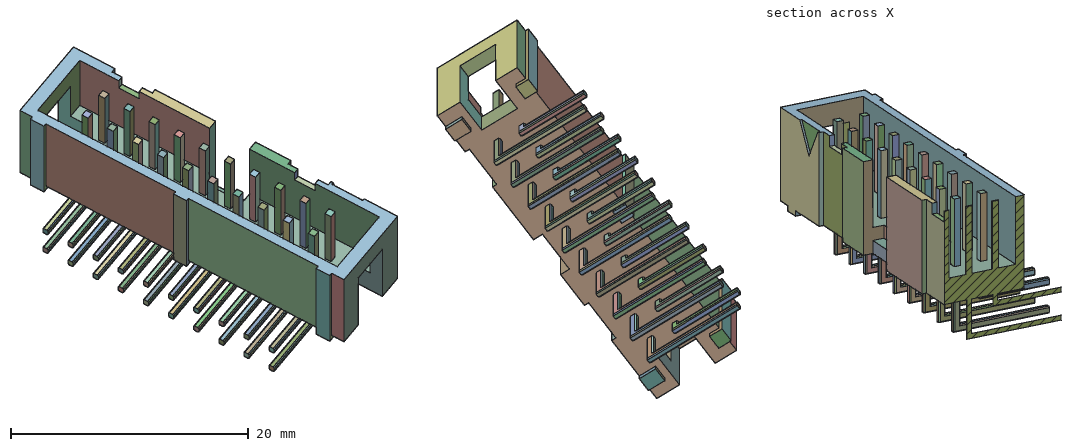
import cadquery as cq

LENGTH = 32.72
DEPTH = 8.15
HEIGHT = 8.47
OVERALL_DEPTH = 11.7
OVERALL_HEIGHT = 12.1
END_WALL = 1.25
FRONT_WALL = 0.85
BACK_WALL = 0.9
FLOOR_TOP = 2.35
CAVITY_BACK = DEPTH - BACK_WALL

COLUMNS = 10
COLUMN_SPAN = 22.85
PITCH = COLUMN_SPAN / (COLUMNS - 1)
PIN_WIDTH = 0.62
TAIL_WIDTH = 0.52
TAIL_CHAMFER = 0.1
PIN_TOP = HEIGHT
FRONT_ROW_Y = 2.78
TAIL_END_Y = DEPTH - OVERALL_DEPTH
PIN_BOTTOM = HEIGHT - OVERALL_HEIGHT
LOWER_TAIL_Z = PIN_BOTTOM + PIN_WIDTH / 2

WINDOW_FRONT = 2.2
WINDOW_WIDTH = 3.63
WINDOW_HEIGHT = 6.4
FLOOR_NOTCH_LENGTH = 2.0
WINDOW_LENGTH = END_WALL + FLOOR_NOTCH_LENGTH

KEY_WIDTH = 4.02
KEY_POCKET_DEPTH = 1.08
KEY_POCKET_BOTTOM = 1.18

GROOVE_CENTERS = (-4 * PITCH, 3 * PITCH)
GROOVE_WIDTH = 4.05
GROOVE_DEPTH = 0.43
NOTCH_WIDTH = 2.05
NOTCH_DEPTH = 0.98

MARK_WIDTH = 3.15
MARK_HEIGHT = 2.7
MARK_DEPTH = 0.2

RIB_PROJECTION = 0.3
OUTER_RIB_WIDTH = 1.37
CENTER_RIB_WIDTH = 1.3
FOOT_HEIGHT = 0.5
FRONT_FOOT_DEPTH = 0.98
BACK_FOOT_DEPTH = 1.67


def block(x_min, x_max, y_min, y_max, z_min, z_max):
    """Axis-aligned box between the given limits."""
    size = (x_max - x_min, y_max - y_min, z_max - z_min)
    return cq.Workplane("XY").box(*size, centered=False).translate((x_min, y_min, z_min))


def centered_block(x_center, width, y_min, y_max, z_min, z_max):
    """Box of the given X width placed about x_center."""
    return block(x_center - width / 2, x_center + width / 2, y_min, y_max, z_min, z_max)


def shroud():
    """Open-topped box with a thick floor."""
    outer = centered_block(0, LENGTH, 0, DEPTH, 0, HEIGHT)
    cavity = centered_block(0, LENGTH - 2 * END_WALL, FRONT_WALL, CAVITY_BACK, FLOOR_TOP, HEIGHT)
    return outer.cut(cavity)


def cut_windows(body):
    """Slot each end from the underside up, through the end wall and into the floor."""
    window = block(-LENGTH / 2, -LENGTH / 2 + WINDOW_LENGTH,
                   WINDOW_FRONT, WINDOW_FRONT + WINDOW_WIDTH, 0, WINDOW_HEIGHT)
    return body.cut(window).cut(window.mirror("YZ"))


def cut_key(body):
    """Split the back wall at mid-length and sink a pocket in the floor just inside the gap."""
    gap = centered_block(0, KEY_WIDTH, CAVITY_BACK, DEPTH, 0, HEIGHT)
    pocket = centered_block(0, KEY_WIDTH, CAVITY_BACK - KEY_POCKET_DEPTH, CAVITY_BACK,
                            KEY_POCKET_BOTTOM, FLOOR_TOP)
    return body.cut(gap).cut(pocket)


def cut_grooves(body):
    """Full-height grooves with a notch through the rest of the wall at the rim."""
    for x in GROOVE_CENTERS:
        body = body.cut(centered_block(x, GROOVE_WIDTH, DEPTH - GROOVE_DEPTH, DEPTH, 0, HEIGHT))
        body = body.cut(centered_block(x, NOTCH_WIDTH, CAVITY_BACK, DEPTH, HEIGHT - NOTCH_DEPTH, HEIGHT))
    return body


def cut_mark(body):
    """Shallow triangle with its base on the rim and its tip pointing down."""
    x = column_x(COLUMNS - 1)
    corners = [(x - MARK_WIDTH / 2, HEIGHT), (x + MARK_WIDTH / 2, HEIGHT), (x, HEIGHT - MARK_HEIGHT)]
    mark = cq.Workplane("XZ", origin=(0, DEPTH, 0)).polyline(corners).close().extrude(MARK_DEPTH)
    return body.cut(mark)


def add_ribs_and_feet(body):
    """Full-height ribs ending in feet, with matching feet under the back corners."""
    outer_x = LENGTH / 2 - END_WALL - OUTER_RIB_WIDTH / 2
    for x, width in ((-outer_x, OUTER_RIB_WIDTH), (0, CENTER_RIB_WIDTH), (outer_x, OUTER_RIB_WIDTH)):
        body = body.union(centered_block(x, width, -RIB_PROJECTION, 0, -FOOT_HEIGHT, HEIGHT))
        body = body.union(centered_block(x, width, -RIB_PROJECTION, FRONT_FOOT_DEPTH, -FOOT_HEIGHT, 0))
    back_foot_front = DEPTH - BACK_FOOT_DEPTH
    for x in (-outer_x, outer_x):
        body = body.union(centered_block(x, OUTER_RIB_WIDTH, back_foot_front, DEPTH, -FOOT_HEIGHT, 0))
    return body


def column_x(column):
    """X position of a pin column, counted from the -X end."""
    return (column - (COLUMNS - 1) / 2) * PITCH


def pin(x, y, tail_z):
    """Square contact post with a slimmer, chamfered tail bent toward the front."""
    post = centered_block(x, PIN_WIDTH, y - PIN_WIDTH / 2, y + PIN_WIDTH / 2, 0, PIN_TOP)
    path = cq.Workplane("YZ", origin=(x, 0, 0)).polyline([(y, 0), (y, tail_z), (TAIL_END_Y, tail_z)])
    half_x = TAIL_WIDTH / 2
    half_y = PIN_WIDTH / 2
    flat_x = half_x - TAIL_CHAMFER
    flat_y = half_y - TAIL_CHAMFER
    section = [(half_x, -flat_y), (half_x, flat_y), (flat_x, half_y), (-flat_x, half_y),
               (-half_x, flat_y), (-half_x, -flat_y), (-flat_x, -half_y), (flat_x, -half_y)]
    tail = cq.Workplane("XY", origin=(x, y, 0)).polyline(section).close().sweep(path, transition="right")
    return post.union(tail)


def add_pins(body):
    """The back row drops one pitch lower, so its tails pass beneath those of the front row."""
    for column in range(COLUMNS):
        x = column_x(column)
        body = body.union(pin(x, FRONT_ROW_Y, LOWER_TAIL_Z + PITCH))
        body = body.union(pin(x, FRONT_ROW_Y + PITCH, LOWER_TAIL_Z))
    return body


housing = shroud()
housing = cut_windows(housing)
housing = cut_key(housing)
housing = cut_grooves(housing)
housing = cut_mark(housing)
housing = add_ribs_and_feet(housing)
result = add_pins(housing)